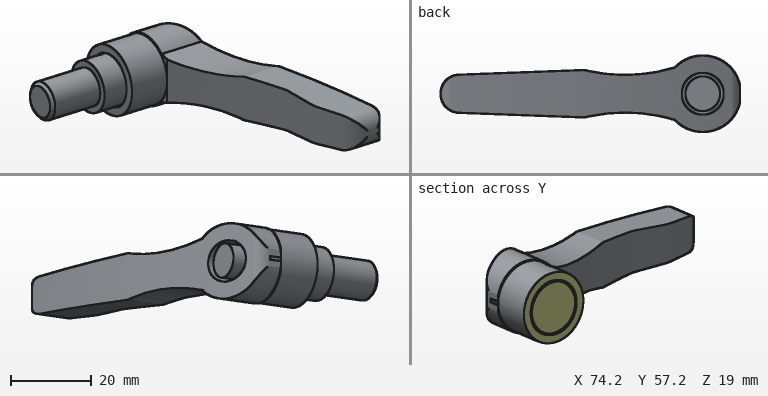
import cadquery as cq
import math


hub_diameter = 19.0
collar_diameter = 18.5
collar_length = 11.0
collar_bore_diameter = 14.0
collar_bore_depth = 0.75
sleeve_diameter = 13.5
sleeve_end_y = -17.65
stud_diameter = 10.0
stud_end_y = -32.6
stud_chamfer = 0.9

head_diameter = 8.6
head_top_y = 11.0
head_bore_diameter = 10.4

overall_length = 74.15
flat_x = -collar_diameter / 2
tip_x = flat_x + overall_length
lever_top_y = 24.6
back_edge_y = 3.5
back_round_end = (-7.35, 6.9)
back_round_mid = (-8.7, 5.5)
top_arc_mid = (28.2, 19.05)
top_arc_end = (62.5, lever_top_y)
nose_mid = (64.3, 23.9)
nose_end = (tip_x, 22.4)
chin_mid = (63.85, 17.4)
tip_start_x = 60.3
chin_end = (tip_start_x, 14.9)
grip_y = 12.5
grip_start_x = 41.3
grip_end_x = 52.5
grip_start_blend = 6.7
grip_end_blend = 9.65
root_end = (13.7, 2.1)
belly_mid = (28.2, 8.2)

hub_radius = hub_diameter / 2
root_x = 6.9
root_half_width = math.sqrt(hub_radius**2 - root_x**2)
waist_x = 19.3
waist_half_width = 4.7
bulge_start_x = 28.2
bulge_end_x = 30.4
bulge_half_width = 5.85
bulge_start_half_width = 5.6
bulge_crest = (29.5, 5.895)
tip_half_width = 4.75

groove_width = 0.9
groove_length = 3.25
groove_depth = 0.15


def cylinder(diameter, start_y, end_y):
    """Round bar on the Y axis between two heights."""
    return (
        cq.Workplane("XZ", origin=(0, end_y, 0))
        .circle(diameter / 2)
        .extrude(end_y - start_y)
    )


def lever_side_profile():
    """Curved lever outline, extruded to the width of the hub."""
    profile = (
        cq.Workplane("XY")
        .moveTo(flat_x, 0)
        .lineTo(flat_x, back_edge_y)
        .threePointArc(back_round_mid, back_round_end)
        .threePointArc(top_arc_mid, top_arc_end)
        .threePointArc(nose_mid, nose_end)
        .threePointArc(chin_mid, chin_end)
        .lineTo(grip_end_x, grip_y)
        .lineTo(grip_start_x, grip_y)
        .threePointArc(belly_mid, root_end)
        .lineTo(collar_diameter / 2, 0)
        .close()
        .extrude(hub_radius, both=True)
    )
    pick_margin = 0.1
    for corner_x, blend in ((grip_start_x, grip_start_blend), (grip_end_x, grip_end_blend)):
        corner = cq.selectors.BoxSelector(
            (corner_x - pick_margin, grip_y - pick_margin, -pick_margin),
            (corner_x + pick_margin, grip_y + pick_margin, pick_margin),
        )
        profile = profile.edges(corner).fillet(blend)
    return profile


def lever_plan():
    """Hub circle and waisted arm, extruded through the lever height."""
    arm = (
        cq.Workplane("XZ")
        .moveTo(0, root_half_width)
        .lineTo(root_x, root_half_width)
        .threePointArc((waist_x, waist_half_width), (bulge_start_x, bulge_start_half_width))
        .threePointArc(bulge_crest, (bulge_end_x, bulge_half_width))
        .lineTo(tip_start_x, tip_half_width)
        .threePointArc((tip_x, 0), (tip_start_x, -tip_half_width))
        .lineTo(bulge_end_x, -bulge_half_width)
        .threePointArc(
            (bulge_crest[0], -bulge_crest[1]), (bulge_start_x, -bulge_start_half_width)
        )
        .threePointArc((waist_x, -waist_half_width), (root_x, -root_half_width))
        .lineTo(0, -root_half_width)
        .close()
        .extrude(-lever_top_y)
    )
    return arm.union(cylinder(hub_diameter, 0, lever_top_y))


def index_groove():
    """Shallow groove on the flat, running up from the collar joint."""
    return cq.Workplane("XY").box(
        groove_depth, groove_length, groove_width, centered=(False, False, True)
    ).translate((flat_x, 0, 0))


lever = lever_side_profile().intersect(lever_plan())
lever = lever.cut(cylinder(head_bore_diameter, 0, lever_top_y))
lever = lever.cut(index_groove())

collar = cylinder(collar_diameter, -collar_length, 0)
collar = collar.cut(
    cylinder(collar_bore_diameter, -collar_length, -collar_length + collar_bore_depth)
)

sleeve = cylinder(sleeve_diameter, sleeve_end_y, 0)
stud = cylinder(stud_diameter, stud_end_y, sleeve_end_y).faces("<Y").chamfer(stud_chamfer)
head = cylinder(head_diameter, 0, head_top_y)

result = lever.union(collar).union(sleeve).union(stud).union(head)